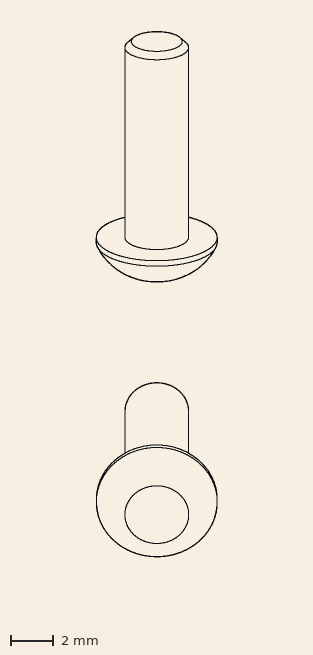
import cadquery as cq
import math

total_length = 11.65
head_diameter = 5.7
head_height = 1.65
rim_height = 0.28
crown_flat_diameter = 3.0
shank_diameter = 3.0
tip_chamfer = 0.3
dome_bulge = 0.16

head_radius = head_diameter / 2
flat_radius = crown_flat_diameter / 2
dome_height = head_height - rim_height

chord_run = head_radius - flat_radius
chord_length = math.hypot(chord_run, dome_height)
dome_middle = (
    (head_radius + flat_radius) / 2 + dome_bulge * dome_height / chord_length,
    dome_height / 2 - dome_bulge * chord_run / chord_length,
)

head = (
    cq.Workplane("XZ")
    .lineTo(flat_radius, 0)
    .threePointArc(dome_middle, (head_radius, dome_height))
    .lineTo(head_radius, head_height)
    .lineTo(0, head_height)
    .close()
    .revolve(360, (0, 0, 0), (0, 1, 0))
)

shank = (
    cq.Workplane("XY")
    .workplane(offset=head_height)
    .circle(shank_diameter / 2)
    .extrude(total_length - head_height)
    .faces(">Z")
    .chamfer(tip_chamfer)
)

result = head.union(shank)